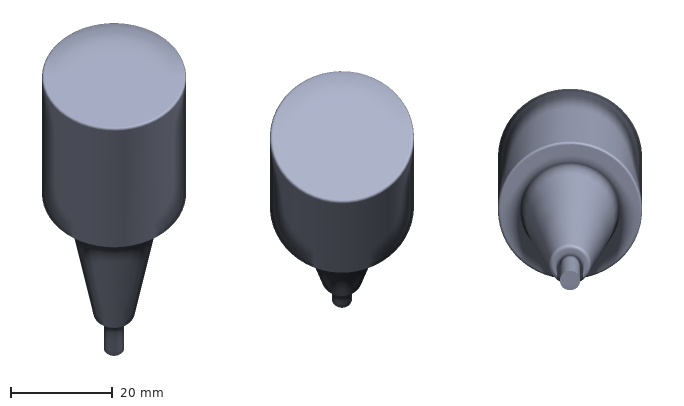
import cadquery as cq

total_height = 80.0
pin_height = 10.0
section_height = (total_height - pin_height) / 2

body_diameter = 28.3
cone_top_diameter = 19.5
cone_tip_diameter = 8.0
pin_diameter = 4.0
rim_radius = 0.5
tip_radius = 0.8

cone_tip_z = pin_height
body_bottom_z = cone_tip_z + section_height

pin = cq.Workplane("XY").circle(pin_diameter / 2).extrude(pin_height)

cone = (
    cq.Workplane("XY", origin=(0, 0, cone_tip_z))
    .circle(cone_tip_diameter / 2)
    .workplane(offset=section_height)
    .circle(cone_top_diameter / 2)
    .loft(ruled=True)
    .faces("<Z")
    .edges()
    .fillet(tip_radius)
)

body = (
    cq.Workplane("XY", origin=(0, 0, body_bottom_z))
    .circle(body_diameter / 2)
    .extrude(section_height)
    .faces("<Z or >Z")
    .edges()
    .fillet(rim_radius)
)

result = body.union(cone).union(pin)